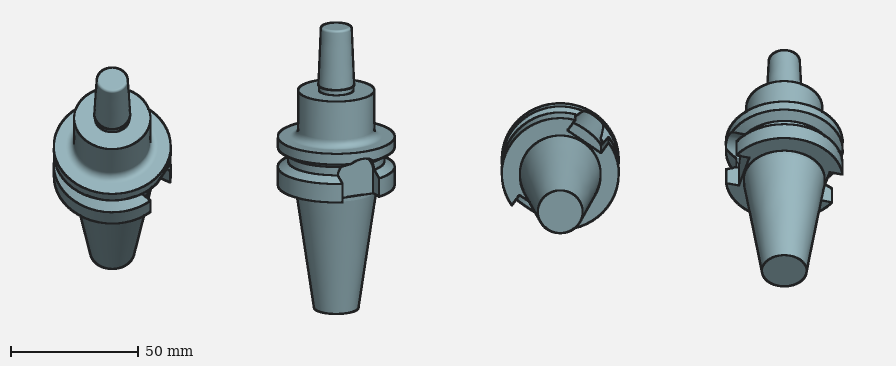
import cadquery as cq
import math


gauge_diameter = 31.75
shank_taper = 7 / 24
shank_length = 48.4

flange_diameter = 46.0
flange_bottom = 2.0
flange_top = 22.0

groove_mid_height = 13.6
groove_floor_diameter = 38.0
groove_mouth_width = 8.0
groove_flank_angle = 30.0

slot_width = 16.1
slot_floor_offset = 16.3
slot_arc_height = 11.1

body_diameter = 30.0
body_top = 41.0
body_fillet = 3.0

tip_height = 67.22
nose_base_height = 43.3
nose_base_diameter = 14.199
nose_taper = 0.0816
tip_fillet = 1.0
relief_diameter = 13.6
relief_chamfer = 0.3

gauge_radius = gauge_diameter / 2
shank_end_radius = (gauge_diameter - shank_taper * shank_length) / 2
flange_radius = flange_diameter / 2
groove_floor_radius = groove_floor_diameter / 2
groove_depth = flange_radius - groove_floor_radius
groove_half_mouth = groove_mouth_width / 2
groove_half_floor = groove_half_mouth - groove_depth * math.tan(math.radians(groove_flank_angle))
body_radius = body_diameter / 2
nose_base_radius = nose_base_diameter / 2
tip_radius = nose_base_radius - nose_taper * (tip_height - nose_base_height) / 2
relief_radius = relief_diameter / 2


def revolved(profile):
    """Turn a closed (radius, height) profile about the Z axis."""
    return profile.close().revolve(360, (0, 0, 0), (0, 1, 0))


def shank():
    profile = (
        cq.Workplane("XZ")
        .moveTo(0, -shank_length)
        .lineTo(shank_end_radius, -shank_length)
        .lineTo(gauge_radius, 0)
        .lineTo(gauge_radius, flange_bottom)
        .lineTo(0, flange_bottom)
    )
    return revolved(profile)


def flange():
    profile = (
        cq.Workplane("XZ")
        .moveTo(0, flange_bottom)
        .lineTo(flange_radius, flange_bottom)
        .lineTo(flange_radius, groove_mid_height - groove_half_mouth)
        .lineTo(groove_floor_radius, groove_mid_height - groove_half_floor)
        .lineTo(groove_floor_radius, groove_mid_height + groove_half_floor)
        .lineTo(flange_radius, groove_mid_height + groove_half_mouth)
        .lineTo(flange_radius, flange_top)
        .lineTo(0, flange_top)
    )
    return revolved(profile)


def body():
    fillet_centre_radius = body_radius + body_fillet
    fillet_centre_height = flange_top + body_fillet
    diagonal = body_fillet * math.sqrt(0.5)
    profile = (
        cq.Workplane("XZ")
        .moveTo(0, flange_top)
        .lineTo(fillet_centre_radius, flange_top)
        .threePointArc(
            (fillet_centre_radius - diagonal, fillet_centre_height - diagonal),
            (body_radius, fillet_centre_height),
        )
        .lineTo(body_radius, body_top)
        .lineTo(0, body_top)
    )
    return revolved(profile)


def nose():
    profile = (
        cq.Workplane("XZ")
        .moveTo(0, body_top)
        .lineTo(relief_radius, body_top)
        .lineTo(relief_radius, nose_base_height - relief_chamfer)
        .lineTo(nose_base_radius, nose_base_height)
        .lineTo(tip_radius, tip_height)
        .lineTo(0, tip_height)
    )
    return revolved(profile).faces(">Z").edges().fillet(tip_fillet)


def drive_slot(side):
    """Round-topped cutter for the slot on the +X (side = 1) or -X (side = -1) face of the flange."""
    half_width = slot_width / 2
    return (
        cq.Workplane("YZ", origin=(side * slot_floor_offset, 0, 0))
        .moveTo(-half_width, flange_bottom)
        .lineTo(half_width, flange_bottom)
        .lineTo(half_width, slot_arc_height)
        .threePointArc((0, slot_arc_height + half_width), (-half_width, slot_arc_height))
        .close()
        .extrude(side * flange_radius)
    )


result = shank().union(flange()).union(body()).union(nose())
for side in (1, -1):
    result = result.cut(drive_slot(side))